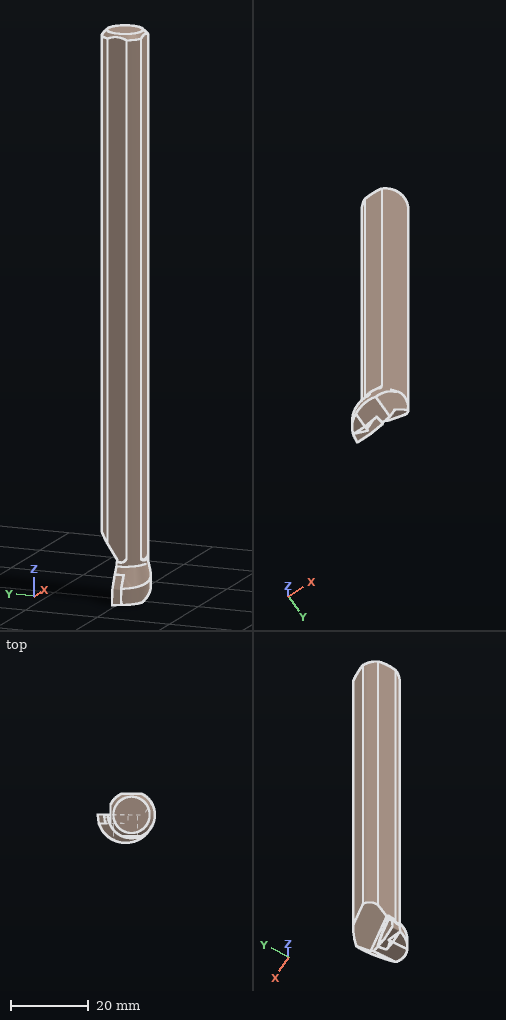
import cadquery as cq
import math

length = 151.2
bar_radius = 6.0
flat_offset = 5.5
flat_end = 10.9
flat_corner = 1.5
end_chamfer = 1.4

neck_height = 9.8
lobe_offset = 1.5
lobe_radius = 7.3
flare_shift = 0.22
flare_growth = 0.3

bevel_top = (bar_radius, 11.2)
bevel_knee = (1.5, 3.6)
bevel_foot = (-4.7, 0.5)
flank_foot = (-8.3, 0.3)
flank_top = (-8.6, 4.1)

notch_foot = (-7.9, 0)
notch_knee = (-7.9, 4.2)
notch_top = (-6.2, 7.9)

relief_height = 8.2
relief_rise = 1.5
relief_fall = 0.6

tip_x = -8.8
tip_direction = 225.0
insert_corner_angle = 80.0
insert_radius = 3.2
insert_thickness = 2.4
insert_taper = 7.0
insert_nose = 0.5
rake_height = 0.2
reach = 30.2


def make_bar():
    top = length - neck_height
    bar = cq.Workplane("XY").workplane(offset=neck_height).circle(bar_radius).extrude(top)
    bar = bar.faces(">Z").chamfer(end_chamfer)
    flat_width = 2 * math.sqrt(bar_radius**2 - flat_offset**2)
    cutter = cq.Workplane("XY").box(reach, flat_width, length, centered=(False, True, False))
    cutter = cutter.edges("|X").fillet(flat_corner).translate((flat_offset, 0, flat_end))
    for angle in (90, 180, 270):
        bar = bar.cut(cutter.rotate((0, 0, 0), (0, 0, 1), angle))
    return bar


def make_head():
    flare = (
        cq.Workplane("XY")
        .workplane(offset=neck_height)
        .circle(bar_radius)
        .workplane(offset=-neck_height)
        .center(-flare_shift * neck_height, 0)
        .circle(bar_radius + flare_growth * neck_height)
        .loft(ruled=True)
    )
    lobe = cq.Workplane("XY").center(-lobe_offset, 0).circle(lobe_radius).extrude(neck_height)
    return flare.intersect(lobe)


def make_side_profile():
    """Front outline that bevels the underside and leans the head towards the tip."""
    outline = [
        (-reach, length),
        (reach, length),
        (reach, bevel_top[1]),
        bevel_top,
        bevel_knee,
        bevel_foot,
        flank_foot,
        flank_top,
        (-reach, flank_top[1]),
    ]
    return cq.Workplane("XZ").polyline(outline).close().extrude(reach, both=True)


def make_relief():
    """Sloped cut on the +Y side that leaves the insert face open."""
    section = cq.Wire.makePolygon(
        [
            cq.Vector(-reach, 0, -reach),
            cq.Vector(-reach, 0, relief_height + relief_fall * reach),
            cq.Vector(-reach, reach, relief_height + relief_fall * reach + relief_rise * reach),
            cq.Vector(-reach, reach, -reach),
        ],
        close=True,
    )
    sweep = cq.Vector(2 * reach, 0, -2 * reach * relief_fall)
    return cq.Workplane(cq.Solid.extrudeLinear(section, [], sweep))


def make_insert():
    edge_count = 6
    step = 360 / edge_count
    half_angle = math.radians(insert_corner_angle / 2)
    sharp_distance = insert_radius / math.sin(half_angle)
    blunt_half_angle = math.radians(180 - step) - half_angle
    blunt_distance = insert_radius / math.sin(blunt_half_angle)
    corners = []
    for index in range(edge_count):
        angle = math.radians(tip_direction + step * index)
        distance = sharp_distance if index % 2 == 0 else blunt_distance
        corners.append((distance * math.cos(angle), distance * math.sin(angle)))
    outline = cq.Sketch().polygon(corners + corners[:1]).vertices().fillet(insert_nose)
    blank = cq.Workplane("XZ").placeSketch(outline).extrude(insert_thickness, taper=insert_taper)
    box = blank.val().BoundingBox()
    return blank.translate((tip_x - box.xmin, rake_height, -box.zmin))


def make_notch():
    """Clearance beside the insert, as deep as its seat."""
    depth = insert_thickness - rake_height
    outline = [(-reach, 0), notch_foot, notch_knee, notch_top, (-reach, notch_top[1])]
    return cq.Workplane("XZ").polyline(outline).close().extrude(depth)


insert = make_insert()
holder = make_bar().union(make_head()).intersect(make_side_profile())
holder = holder.cut(make_relief()).cut(make_notch()).cut(insert)

result = cq.Compound.makeCompound([holder.val(), insert.val()])